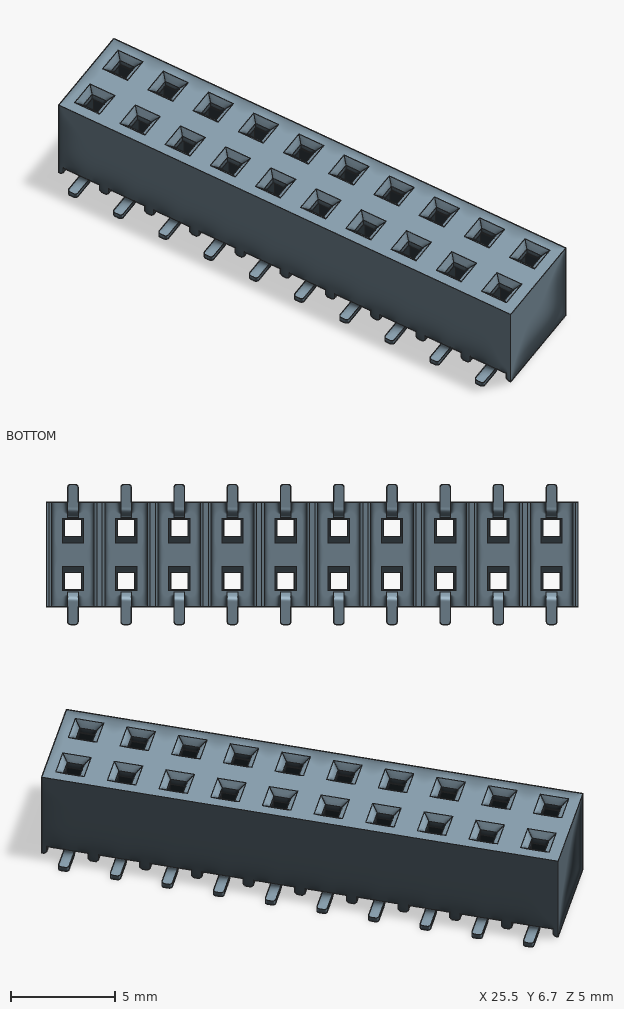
import cadquery as cq

columns = 10
rows = 2
pitch = 2.55
column_positions = [(i - (columns - 1) / 2) * pitch for i in range(columns)]

housing_length = columns * pitch
housing_width = 5.0
housing_top = 5.0
housing_base = 0.6

rib_bottom = 0.15
rib_width = 0.5
rib_chamfer = 0.13

socket_width = 0.81
socket_mouth = 1.4
socket_lead_in = (socket_mouth - socket_width) / 2

cavity_top = 4.4
cavity_length = 1.02
cavity_inner_y = 0.55
cavity_outer_y = 1.73

lead_span = 6.7
lead_width = 0.5
lead_thickness = 0.25
lead_inner_radius = 0.23
lead_outer_radius = lead_inner_radius + lead_thickness
lead_leg_inside = 1.78
lead_tip_round = 0.15


def make_housing():
    """Block whose underside is cut into chamfered ribs by one crosswise channel per column."""
    channel_width = pitch - rib_width
    block = (
        cq.Workplane("XY")
        .workplane(offset=rib_bottom)
        .box(housing_length, housing_width, housing_top - rib_bottom, centered=(True, True, False))
    )
    channels = (
        cq.Workplane("XY")
        .workplane(offset=rib_bottom)
        .pushPoints([(x, 0) for x in column_positions])
        .box(channel_width, housing_width, housing_base - rib_bottom, centered=(True, True, False))
    )
    block = block.cut(channels)
    for x in column_positions:
        for side in (-1, 1):
            rib_edge = (x + side * channel_width / 2, 0, rib_bottom)
            block = block.edges(cq.selectors.NearestToPointSelector(rib_edge)).chamfer(rib_chamfer)
    return block


def make_sockets():
    """Square through holes with a tapered lead-in at the top, as bores and mouths."""
    grid = cq.Workplane("XY").rarray(pitch, pitch, columns, rows)
    bores = grid.rect(socket_width, socket_width).extrude(housing_top)
    mouth = (
        cq.Workplane("XY")
        .workplane(offset=housing_top - socket_lead_in)
        .rect(socket_width, socket_width)
        .workplane(offset=socket_lead_in)
        .rect(socket_mouth, socket_mouth)
        .loft(ruled=True)
        .val()
    )
    mouths = cq.Workplane("XY").rarray(pitch, pitch, columns, rows).eachpoint(mouth.moved, combine=False)
    return bores, mouths


def make_cavities():
    """Wider pocket under each socket, open through the underside."""
    cavity_centre_y = (cavity_inner_y + cavity_outer_y) / 2
    centres = [(x, side * cavity_centre_y) for x in column_positions for side in (-1, 1)]
    return (
        cq.Workplane("XY")
        .pushPoints(centres)
        .rect(cavity_length, cavity_outer_y - cavity_inner_y)
        .extrude(cavity_top)
    )


def make_lead():
    """Lead on the +Y side: a flat foot that bends up into a leg under the housing."""
    tip = lead_span / 2
    bend_y = lead_leg_inside + lead_outer_radius
    bend_z = lead_outer_radius
    leg_outside = lead_leg_inside + lead_thickness
    lead = (
        cq.Workplane("YZ")
        .moveTo(tip, 0)
        .lineTo(bend_y, 0)
        .radiusArc((lead_leg_inside, bend_z), lead_outer_radius)
        .lineTo(lead_leg_inside, housing_base)
        .lineTo(leg_outside, housing_base)
        .lineTo(leg_outside, bend_z)
        .radiusArc((bend_y, lead_thickness), -lead_inner_radius)
        .lineTo(tip, lead_thickness)
        .close()
        .extrude(lead_width / 2, both=True)
    )
    return lead.faces(">Y").edges("|Z").fillet(lead_tip_round)


housing = make_housing()
for cutter in (*make_sockets(), make_cavities()):
    housing = housing.cut(cutter)

back_lead = make_lead()
front_lead = back_lead.mirror("XZ")
result = housing
for x in column_positions:
    for lead in (front_lead, back_lead):
        result = result.union(lead.translate((x, 0, 0)))